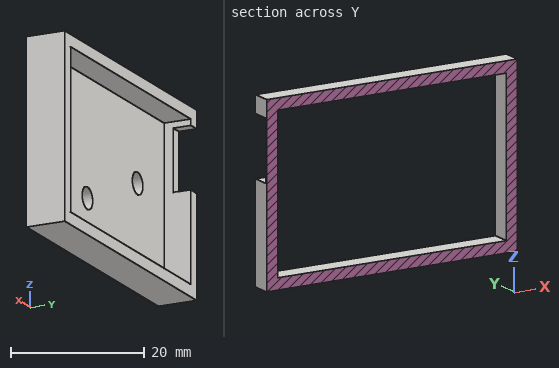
import cadquery as cq

length = 44.0
thickness = 6.5
height = 30.0

rim_width = 2.0
pocket_depth = 4.5

notch_depth = 3.0
notch_height = 10.1
notch_top_margin = 3.0

hole_diameter = 3.5
hole_centres = [(10.83, 16.01), (27.54, 8.95)]


def plate():
    return cq.Workplane("XY").box(length, thickness, height, centered=False)


def back_recess(size_x, size_z, left, bottom, depth):
    """Block that cuts to the given depth into the +Y face."""
    return (
        cq.Workplane("XY")
        .box(size_x, depth, size_z, centered=False)
        .translate((left, thickness - depth, bottom))
    )


def pocket():
    size_x = length - 2 * rim_width
    size_z = height - 2 * rim_width
    return back_recess(size_x, size_z, rim_width, rim_width, pocket_depth)


def notch():
    bottom = height - notch_top_margin - notch_height
    return back_recess(rim_width, notch_height, 0, bottom, notch_depth)


def holes():
    return (
        cq.Workplane("XZ")
        .pushPoints(hole_centres)
        .circle(hole_diameter / 2)
        .extrude(-thickness)
    )


result = plate().cut(pocket()).cut(notch()).cut(holes())